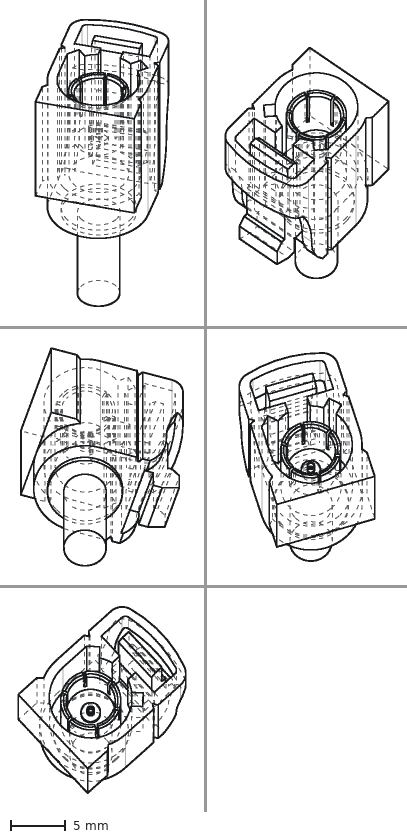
import cadquery as cq
import math

TOP = 24.78
FLANGE_BOTTOM = 9.5
BODY_BOTTOM = 10.04
BLOCK_BOTTOM = 13.85
CAVITY_FLOOR = BLOCK_BOTTOM

WIDTH = 9.4
DEPTH = 13.53
HALF_WIDTH = WIDTH / 2
BACK_Y = DEPTH - HALF_WIDTH
BACK_RADIUS = 12.4
BACK_CORNER_RADIUS = 1.5
LEFT_NOTCH_Y = -1.93
RIGHT_NOTCH_Y = -1.78
BLOCK_NOTCH_RISE = 0.45
GROOVE_Y = 3.8
GROOVE_DEPTH = 0.45
GROOVE_HALF_WIDTH = 0.27

BACK_WALL_BOTTOM = 19.63
WAIST_Y = 6.35
WAIST_Z = 14.5
UPPER_SCALLOP_RADIUS = 12.5
LOWER_SCALLOP_RADIUS = 7.15

WINDOW_WIDTH = 7.15
WINDOW_FRONT_Y = 4.6
WINDOW_CORNER_RADIUS = 0.5
WINDOW_BACK_RADIUS = 13.63
BACK_WALL = 0.82

CAVITY_RADIUS = 3.8
KEY_WIDTH = 1.3
KEY_REACH = 4.78
SLOT_WIDTH = 2.1

LATCH_WIDTH = 4.49
ARM_TOP = 24.35
ARM_FRONT_Y = 5.5
ARM_TOP_FRONT_Y = 6.02
ARM_SLOPE_BOTTOM = 23.85
ARM_BACK_Y = 6.8
PAD_TOP = 18.11
PAD_BACK_Y = 7.25
PAD_SIDE_TOP = 17.72
HOOK_TOP = 13.63
HOOK_TOP_Y = 7.65
HOOK_BACK_Y = 8.35
HOOK_SIDE_TOP = 12.84
HOOK_SIDE_BOTTOM = 10.8
HOOK_BOTTOM_Y = 6.72
LATCH_TAIL_Y = 5.85
BRIDGE_FRONT_Y = 4.53
BRIDGE_BOTTOM = 12.15
BRIDGE_TOP = 15.36

RING_DIAMETER = 5.5
RING_BORE = 4.49
RING_TOP = 23.47
RING_LEAD_IN = 0.25
RING_SLOTS = 6
RING_SLOT_WIDTH = 0.25
RING_SLOT_BOTTOM = 19.33
INSULATOR_TOP = 17.85
BOSS_DIAMETER = 1.78
BOSS_TOP = 18.34
PIN_DIAMETER = 0.7
PIN_BORE = 0.55
PIN_TOP = 19.33
FLANGE_DIAMETER = 6.9
SLEEVE_DIAMETER = 3.9


def cylinder(diameter, bottom, top):
    return cq.Workplane("XY").workplane(offset=bottom).circle(diameter / 2).extrude(top - bottom)


def box(x_min, x_max, y_min, y_max, bottom, top):
    return cq.Workplane("XY").box(
        x_max - x_min, y_max - y_min, top - bottom, centered=False
    ).translate((x_min, y_min, bottom))


def prism(points, bottom, top):
    return cq.Workplane("XY").workplane(offset=bottom).polyline(points).close().extrude(top - bottom)


def arched_prism(half_width, front_y, crown_y, radius, corner_radius):
    """Full-height block whose back is an arc with rounded ends."""
    shoulder_y = crown_y - radius + math.sqrt(radius**2 - half_width**2)
    return (
        cq.Workplane("XY").workplane(offset=BODY_BOTTOM)
        .moveTo(-half_width, front_y)
        .lineTo(half_width, front_y)
        .lineTo(half_width, shoulder_y)
        .threePointArc((0, crown_y), (-half_width, shoulder_y))
        .close()
        .extrude(TOP - BODY_BOTTOM)
        .edges("|Z").edges(">Y").fillet(corner_radius)
    )


def front_block():
    """Square front whose rear corners slope in to meet the round body."""

    def notch_x(y):
        return math.sqrt(HALF_WIDTH**2 - y**2)

    return prism(
        [
            (-HALF_WIDTH, -HALF_WIDTH),
            (HALF_WIDTH, -HALF_WIDTH),
            (HALF_WIDTH, RIGHT_NOTCH_Y - BLOCK_NOTCH_RISE),
            (notch_x(RIGHT_NOTCH_Y), RIGHT_NOTCH_Y),
            (-notch_x(LEFT_NOTCH_Y), LEFT_NOTCH_Y),
            (-HALF_WIDTH, LEFT_NOTCH_Y - BLOCK_NOTCH_RISE),
        ],
        BLOCK_BOTTOM,
        TOP,
    )


def side_groove(side):
    return prism(
        [
            (side * HALF_WIDTH, GROOVE_Y - GROOVE_HALF_WIDTH),
            (side * (HALF_WIDTH - GROOVE_DEPTH), GROOVE_Y),
            (side * HALF_WIDTH, GROOVE_Y + GROOVE_HALF_WIDTH),
        ],
        BODY_BOTTOM,
        TOP,
    )


def scallop():
    """Material removed below the back wall, across the whole width."""

    def upper_y(z):
        drop = z - WAIST_Z
        return WAIST_Y + UPPER_SCALLOP_RADIUS - math.sqrt(UPPER_SCALLOP_RADIUS**2 - drop**2)

    def lower_y(z):
        drop = WAIST_Z - z
        return WAIST_Y - LOWER_SCALLOP_RADIUS + math.sqrt(LOWER_SCALLOP_RADIUS**2 - drop**2)

    upper_mid = (WAIST_Z + BACK_WALL_BOTTOM) / 2
    lower_mid = (WAIST_Z + BODY_BOTTOM) / 2
    return (
        cq.Workplane("YZ")
        .moveTo(BACK_Y, BACK_WALL_BOTTOM)
        .lineTo(upper_y(BACK_WALL_BOTTOM), BACK_WALL_BOTTOM)
        .threePointArc((upper_y(upper_mid), upper_mid), (WAIST_Y, WAIST_Z))
        .threePointArc((lower_y(lower_mid), lower_mid), (lower_y(BODY_BOTTOM), BODY_BOTTOM))
        .lineTo(BACK_Y, BODY_BOTTOM)
        .close()
        .extrude(HALF_WIDTH, both=True)
    )


def keyway(angle):
    bar = box(0, KEY_REACH, -KEY_WIDTH / 2, KEY_WIDTH / 2, CAVITY_FLOOR, TOP)
    return bar.rotate((0, 0, 0), (0, 0, 1), angle)


def plug_cavity():
    """Round cavity, square key on the right, wide key on the left and a slot to the window."""
    wide_key_corner_y = KEY_REACH * math.sqrt(2) - CAVITY_RADIUS
    side_limit = box(-CAVITY_RADIUS, 0, 0, KEY_REACH, CAVITY_FLOOR, TOP)
    side_recess = prism(
        [
            (0, 0),
            (-CAVITY_RADIUS, 0),
            (-CAVITY_RADIUS, wide_key_corner_y),
            (-KEY_REACH / math.sqrt(2), KEY_REACH / math.sqrt(2)),
        ],
        CAVITY_FLOOR,
        TOP,
    )
    return (
        cylinder(2 * CAVITY_RADIUS, CAVITY_FLOOR, TOP)
        .union(keyway(45))
        .union(keyway(135).intersect(side_limit))
        .union(side_recess)
        .union(box(-SLOT_WIDTH / 2, SLOT_WIDTH / 2, 0, WINDOW_FRONT_Y, CAVITY_FLOOR, TOP))
    )


def housing():
    body = arched_prism(HALF_WIDTH, 0, BACK_Y, BACK_RADIUS, BACK_CORNER_RADIUS)
    window = arched_prism(
        WINDOW_WIDTH / 2,
        WINDOW_FRONT_Y,
        BACK_Y - BACK_WALL,
        WINDOW_BACK_RADIUS,
        WINDOW_CORNER_RADIUS,
    )
    body = body.union(cylinder(WIDTH, BODY_BOTTOM, TOP)).union(front_block())
    for side in (-1, 1):
        body = body.cut(side_groove(side))
    return body.cut(window).cut(scallop()).cut(plug_cavity())


def latch():
    """Sprung arm with a hook at its lower end, carried by a bridge from the housing."""
    profile = [
        (ARM_FRONT_Y, ARM_SLOPE_BOTTOM),
        (ARM_TOP_FRONT_Y, ARM_TOP),
        (ARM_BACK_Y, ARM_TOP),
        (ARM_BACK_Y, PAD_TOP),
        (PAD_BACK_Y, PAD_SIDE_TOP),
        (PAD_BACK_Y, HOOK_TOP),
        (HOOK_TOP_Y, HOOK_TOP),
        (HOOK_BACK_Y, HOOK_SIDE_TOP),
        (HOOK_BACK_Y, HOOK_SIDE_BOTTOM),
        (HOOK_BOTTOM_Y, BODY_BOTTOM),
        (LATCH_TAIL_Y, BODY_BOTTOM),
        (LATCH_TAIL_Y, BRIDGE_BOTTOM),
        (BRIDGE_FRONT_Y, BRIDGE_BOTTOM),
        (BRIDGE_FRONT_Y, BRIDGE_TOP),
        (ARM_FRONT_Y, BRIDGE_TOP),
    ]
    return cq.Workplane("YZ").polyline(profile).close().extrude(LATCH_WIDTH / 2, both=True)


def contact_ring():
    """Slotted outer contact with a conical lead-in."""
    ring = cylinder(RING_DIAMETER, CAVITY_FLOOR, RING_TOP).cut(
        cylinder(RING_BORE, INSULATOR_TOP, RING_TOP)
    )
    bore_rim = ring.faces(">Z").edges(cq.selectors.RadiusNthSelector(0))
    ring = bore_rim.chamfer(RING_LEAD_IN)
    slot = box(
        0, RING_DIAMETER / 2, -RING_SLOT_WIDTH / 2, RING_SLOT_WIDTH / 2, RING_SLOT_BOTTOM, RING_TOP
    )
    for index in range(RING_SLOTS):
        angle = 90 + index * 360 / RING_SLOTS
        ring = ring.cut(slot.rotate((0, 0, 0), (0, 0, 1), angle))
    return ring


def centre_contact():
    boss = cylinder(BOSS_DIAMETER, INSULATOR_TOP, BOSS_TOP)
    pin = cylinder(PIN_DIAMETER, BOSS_TOP, PIN_TOP)
    return boss.union(pin).cut(cylinder(PIN_BORE, BOSS_TOP, PIN_TOP))


result = (
    housing()
    .union(latch())
    .union(contact_ring())
    .union(centre_contact())
    .union(cylinder(FLANGE_DIAMETER, FLANGE_BOTTOM, BODY_BOTTOM))
    .union(cylinder(SLEEVE_DIAMETER, 0, FLANGE_BOTTOM))
)